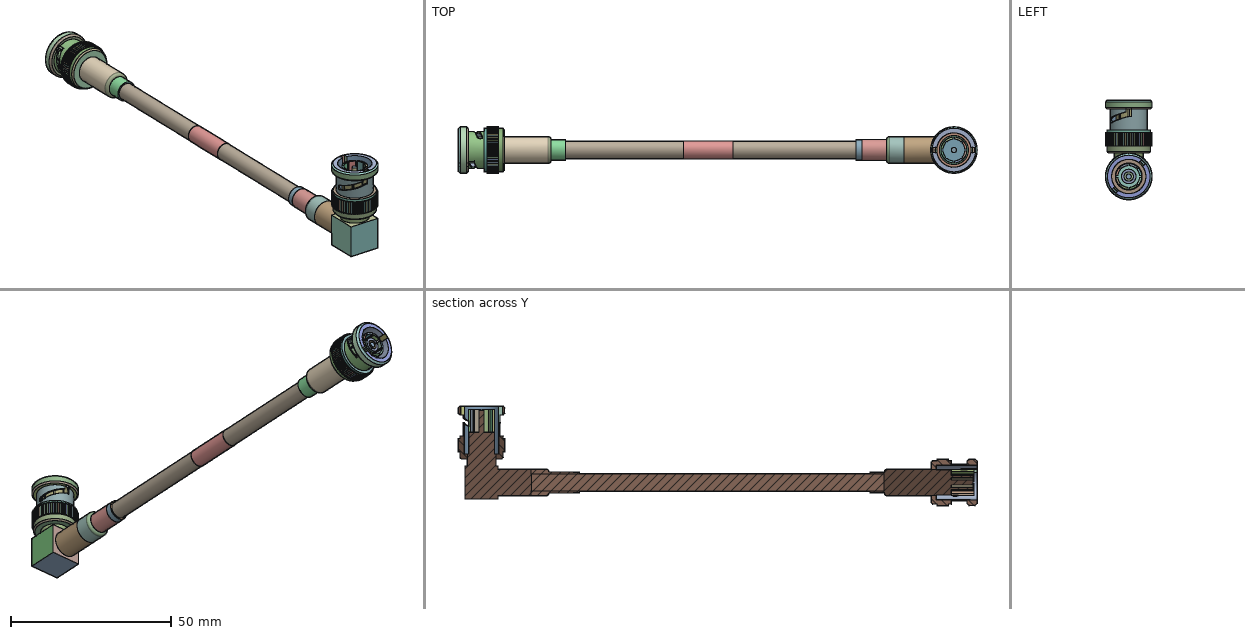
import cadquery as cq
import math


elbow_axis_x = 154.6
elbow_top_z = 23.8

cable_radius = 2.8
cable_start_x = 29.0
sleeve_thickness = 0.08
sleeve_radius = cable_radius + sleeve_thickness
sleeve_start_x = 70.3
sleeve_end_x = 85.7

nut_radius = 7.3
barrel_radius = 5.8
bore_radius = 5.3
band_radius = 6.8
knurl_root_radius = 7.0
knurl_teeth = 72
back_band_chamfer = 0.5
back_wall = 1.6
straight_flange_length = 3.2
straight_flange_chamfer = 0.6
straight_band_depth = 8.1
straight_front_band = 0.8
straight_knurl_length = 3.7
straight_back_band = 1.8
elbow_flange_length = 2.8
elbow_flange_chamfer = 0.5
elbow_band_depth = 9.2
elbow_front_band = 0.8
elbow_knurl_length = 4.2
elbow_back_band = 2.3

slot_width = 1.6
slot_start_depth = 4.2
slot_end_depth = 6.8
slot_sweep_angle = 90
slot_outer_radius = 6.5
slot_bore_overlap = 0.5
slot_count = 2
straight_slot_turn = -45
elbow_slot_turn = 0

contact_tube_depth = 1.0
contact_tube_radius = 4.0
contact_tube_bore = 3.4
finger_count = 8
finger_gap = 0.5
contact_floor_depth = 8.1
pin_radius = 0.8
pin_depth = 1.3
insulator_radius = 2.3
insulator_bore = 1.5
insulator_depth = 1.3

straight_body_radius = 4.2
straight_round = 1.0
straight_tail_radius = 3.2
straight_tail_end_x = 33.5

block_size = 10.4
elbow_neck_radius = 4.5
elbow_barrel_radius = 4.2
elbow_barrel_start_x = 139.1

ferrule_start_x = 124.0
ferrule_lip_length = 2.0
ferrule_lip_radius = 3.2
ferrule_step = 0.05
ferrule_crimp_radius = ferrule_lip_radius + ferrule_step
ferrule_collar_x = 133.6
ferrule_round = 1.0

straight_nut_length = straight_band_depth + straight_front_band + straight_knurl_length + straight_back_band
elbow_nut_length = elbow_band_depth + elbow_front_band + elbow_knurl_length + elbow_back_band


def rod_x(radius, start, end):
    """Round rod on the X axis."""
    return cq.Workplane("YZ").workplane(offset=start).circle(radius).extrude(end - start)


def rod_down(radius, start_depth, end_depth):
    """Round rod on the Z axis, running down between two depths below Z = 0."""
    return cq.Workplane("XY").workplane(offset=-end_depth).circle(radius).extrude(end_depth - start_depth)


def place_straight(shape):
    """Turn a plug part that faces +Z so that it faces -X, with its mating face at X = 0."""
    return shape.rotate((0, 0, 0), (0, 1, 0), -90)


def place_elbow(shape):
    """Lift a plug part that faces +Z to the top of the right-angle plug."""
    return shape.translate((elbow_axis_x, 0, elbow_top_z))


def knurled_band(start_depth, knurl_length):
    """Star-shaped band with straight V teeth."""
    points = []
    for i in range(2 * knurl_teeth):
        angle = math.pi * i / knurl_teeth
        radius = nut_radius if i % 2 == 0 else knurl_root_radius
        points.append((radius * math.cos(angle), radius * math.sin(angle)))
    band = cq.Workplane("XY").workplane(offset=-start_depth - knurl_length)
    return band.polyline(points).close().extrude(knurl_length)


def bayonet_slot():
    """Cutter for one slot: axial keyway at +X, helical ramp towards -Y and round end."""
    drop = slot_end_depth - slot_start_depth
    pitch = drop * 360 / slot_sweep_angle
    inner_radius = bore_radius - slot_bore_overlap
    cut_depth = slot_outer_radius - inner_radius
    path = cq.Wire.makeHelix(pitch, drop, bore_radius)
    ramp = (
        cq.Workplane("XZ")
        .center((inner_radius + slot_outer_radius) / 2, 0)
        .rect(cut_depth, slot_width)
        .sweep(cq.Workplane(path), isFrenet=True)
        .translate((0, 0, -slot_end_depth))
        .rotate((0, 0, 0), (0, 0, 1), -slot_sweep_angle)
    )
    end_hole = (
        cq.Workplane("YZ")
        .workplane(offset=inner_radius)
        .center(0, -slot_end_depth)
        .circle(slot_width / 2)
        .extrude(cut_depth)
        .rotate((0, 0, 0), (0, 0, 1), -slot_sweep_angle)
    )
    keyway_length = slot_start_depth + slot_width / 2
    keyway = (
        cq.Workplane("XY")
        .box(cut_depth, slot_width, keyway_length, centered=(False, True, False))
        .translate((inner_radius, 0, -keyway_length))
    )
    return ramp, end_hole, keyway


def bayonet_nut(
    flange_length, flange_chamfer, band_depth, knurl_depth, knurl_length, nut_length, hole_radius, slot_turn
):
    """Coupling nut facing +Z: flange, slotted barrel and knurled grip."""
    flange = rod_down(nut_radius, 0, flange_length).edges().chamfer(flange_chamfer)
    nut = flange.union(rod_down(barrel_radius, flange_length / 2, band_depth + back_wall))
    bands = rod_down(band_radius, band_depth, nut_length).faces("<Z").chamfer(back_band_chamfer)
    nut = nut.union(bands).union(knurled_band(knurl_depth, knurl_length))
    nut = nut.cut(rod_down(bore_radius, 0, nut_length - back_wall))
    nut = nut.cut(rod_down(hole_radius, 0, nut_length))
    for i in range(slot_count):
        for cutter in bayonet_slot():
            nut = nut.cut(cutter.rotate((0, 0, 0), (0, 0, 1), slot_turn + i * 360 / slot_count))
    return nut


def contact_end(end_depth):
    """Mating end of a plug body facing +Z: slotted contact tube with a centre pin in it."""
    tube = rod_down(contact_tube_radius, contact_tube_depth, end_depth)
    tube = tube.cut(rod_down(contact_tube_bore, contact_tube_depth, contact_floor_depth))
    gap_length = contact_floor_depth - contact_tube_depth
    gap = cq.Workplane("XY").box(contact_tube_radius, finger_gap, gap_length, centered=(False, True, False))
    gap = gap.translate((contact_tube_bore - finger_gap, 0, -contact_floor_depth))
    for i in range(finger_count):
        tube = tube.cut(gap.rotate((0, 0, 0), (0, 0, 1), i * 360 / finger_count))
    return tube.union(rod_down(pin_radius, pin_depth, end_depth))


def straight_body():
    insulator = rod_down(insulator_radius, insulator_depth, straight_nut_length)
    insulator = insulator.cut(rod_down(insulator_bore, insulator_depth, contact_floor_depth))
    mating_end = place_straight(contact_end(straight_nut_length).union(insulator))
    barrel = rod_x(straight_body_radius, straight_nut_length - back_wall, cable_start_x)
    barrel = barrel.faces(">X").edges().fillet(straight_round)
    tail = rod_x(straight_tail_radius, cable_start_x, straight_tail_end_x)
    tail = tail.cut(rod_x(cable_radius, cable_start_x, straight_tail_end_x))
    return mating_end.union(barrel).union(tail)


def elbow_body():
    block = cq.Workplane("XY").box(block_size, block_size, block_size).translate((elbow_axis_x, 0, 0))
    block_top_depth = elbow_top_z - block_size / 2
    neck = rod_down(elbow_neck_radius, elbow_nut_length - back_wall, block_top_depth)
    upright = place_elbow(contact_end(elbow_nut_length).union(neck))
    barrel = rod_x(elbow_barrel_radius, elbow_barrel_start_x, elbow_axis_x)
    return block.union(upright).union(barrel)


def crimp_ferrule():
    lip_end_x = ferrule_start_x + ferrule_lip_length
    lip = rod_x(ferrule_lip_radius, ferrule_start_x, lip_end_x)
    crimp = rod_x(ferrule_crimp_radius, lip_end_x, ferrule_collar_x)
    collar = rod_x(elbow_barrel_radius, ferrule_collar_x, elbow_barrel_start_x)
    collar = collar.faces("<X").edges().fillet(ferrule_round)
    bore = rod_x(cable_radius, ferrule_start_x, elbow_barrel_start_x)
    return lip.union(crimp).union(collar).cut(bore)


cable = rod_x(cable_radius, cable_start_x, elbow_barrel_start_x)
middle_sleeve = rod_x(sleeve_radius, sleeve_start_x, sleeve_end_x).cut(cable)
straight_plug = straight_body()
straight_nut = place_straight(
    bayonet_nut(
        flange_length=straight_flange_length,
        flange_chamfer=straight_flange_chamfer,
        band_depth=straight_band_depth,
        knurl_depth=straight_band_depth + straight_front_band,
        knurl_length=straight_knurl_length,
        nut_length=straight_nut_length,
        hole_radius=straight_body_radius,
        slot_turn=straight_slot_turn,
    )
)
elbow_plug = elbow_body()
elbow_nut = place_elbow(
    bayonet_nut(
        flange_length=elbow_flange_length,
        flange_chamfer=elbow_flange_chamfer,
        band_depth=elbow_band_depth,
        knurl_depth=elbow_band_depth + elbow_front_band,
        knurl_length=elbow_knurl_length,
        nut_length=elbow_nut_length,
        hole_radius=elbow_neck_radius,
        slot_turn=elbow_slot_turn,
    )
)
ferrule = crimp_ferrule()

bodies = [cable, middle_sleeve, straight_plug, straight_nut, elbow_plug, elbow_nut, ferrule]
result = cq.Compound.makeCompound([body.solids().val() for body in bodies])